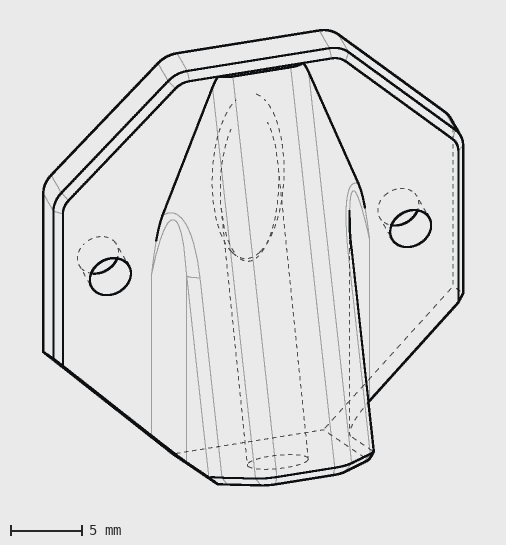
import cadquery as cq
import math

plate_width = 30.0
plate_height = 33.0
plate_thickness = 3.0
corner_cut = 8.98
corner_radius = 1.98
rim_chamfer = 0.53
foot_half_width = 5.5
foot_corner_height = 10.13
foot_angle = 20.0

part_depth = 13.93
tip_height = 5.78
boss_lean = 21.7
boss_width = 12.0
boss_chamfer = 3.07
boss_edge_radius = 1.98
root_radius = 1.98
nose_chamfer = 0.65

pin_hole_diameter = 3.0
pin_hole_offset = 11.0
pin_hole_height = 17.4
bore_diameter = 4.3
bore_exit_height = 22.28
mouth_width = 5.28
mouth_length = 13.63
mouth_center_height = 21.95
mouth_depth = 0.33

half_width = plate_width / 2
foot_rise = math.tan(math.radians(foot_angle))
lean_sin = math.sin(math.radians(boss_lean))
lean_cos = math.cos(math.radians(boss_lean))


def make_plate():
    """Plate with rounded, chamfered upper outline; its foot is trimmed later."""
    shoulder = plate_height - corner_cut
    top_half_width = half_width - corner_cut
    plate = (
        cq.Workplane("YZ")
        .moveTo(-half_width, 0)
        .lineTo(half_width, 0)
        .lineTo(half_width, shoulder)
        .lineTo(top_half_width, plate_height)
        .lineTo(-top_half_width, plate_height)
        .lineTo(-half_width, shoulder)
        .close()
        .extrude(plate_thickness)
    )
    upper_corners = cq.selectors.BoxSelector(
        (-0.33, -plate_width, shoulder - 0.33),
        (plate_thickness + 0.33, plate_width, plate_height + 0.33),
    )
    plate = plate.edges("|X").edges(upper_corners).fillet(corner_radius)
    return plate.faces(">X").edges("not <Z").chamfer(rim_chamfer)


def make_rooted_block():
    """Straight-sided block behind the boss, with concave roots where it meets the plate."""
    half_boss = boss_width / 2
    root_end = plate_thickness + root_radius
    block_end = 2 * part_depth
    return (
        cq.Workplane("XY")
        .moveTo(plate_thickness, -half_boss - root_radius)
        .radiusArc((root_end, -half_boss), root_radius)
        .lineTo(block_end, -half_boss)
        .lineTo(block_end, half_boss)
        .lineTo(root_end, half_boss)
        .radiusArc((plate_thickness, half_boss + root_radius), root_radius)
        .lineTo(0.5 * plate_thickness, half_boss + root_radius)
        .lineTo(0.5 * plate_thickness, -half_boss - root_radius)
        .close()
        .extrude(plate_height - rim_chamfer)
    )


def make_leaning_front():
    """Leaning prism with a flat front and two 45 degree bevels, rounded between them."""
    section_plane = cq.Plane(
        origin=(part_depth, 0, tip_height),
        xDir=(lean_cos, 0, lean_sin),
        normal=(-lean_sin, 0, lean_cos),
    )
    nose_half_width = boss_width / 2 - boss_chamfer
    reach = 2 * part_depth
    front = (
        cq.Workplane(section_plane)
        .workplane(offset=-plate_height / 2)
        .moveTo(-reach, -nose_half_width - reach)
        .lineTo(0, -nose_half_width)
        .lineTo(0, nose_half_width)
        .lineTo(-reach, nose_half_width + reach)
        .close()
        .extrude(2 * plate_height)
    )
    along_lean = cq.selectors.ParallelDirSelector(section_plane.zDir)
    back = cq.selectors.DirectionMinMaxSelector(section_plane.xDir, False)
    return front.edges(along_lean - back).fillet(boss_edge_radius)


def make_boss():
    """Rooted block cut to the leaning front, with its side edges rounded."""
    boss = make_rooted_block().intersect(make_leaning_front())
    half_boss = boss_width / 2
    for y in (-half_boss, half_boss):
        side_edge = cq.selectors.BoxSelector(
            (plate_thickness + root_radius, y - 0.03, 0.33),
            (part_depth, y + 0.03, plate_height),
        )
        boss = boss.edges("not |Z").edges(side_edge).fillet(boss_edge_radius)
    return boss


def make_foot_envelope():
    """Space kept above the foot: its outline is swept upward along the foot slope."""
    reach = 2 * part_depth
    rise = reach * foot_rise

    def outline(x, lift):
        corners = [
            (-foot_half_width, 0),
            (foot_half_width, 0),
            (half_width, foot_corner_height),
            (half_width, 2 * plate_height),
            (-half_width, 2 * plate_height),
            (-half_width, foot_corner_height),
        ]
        points = [cq.Vector(x, y, z + lift) for y, z in corners]
        return cq.Wire.makePolygon(points, close=True)

    envelope = cq.Solid.makeLoft([outline(0, 0), outline(reach, rise)], True)
    return cq.Workplane(envelope)


def bevel_nose(body):
    """Bevel the lower edge of the boss tip, around its flat front and side bevels."""
    slope = math.radians(foot_angle)
    foot_normal = cq.Vector(-math.sin(slope), 0, math.cos(slope))
    foot = body.faces(cq.selectors.DirectionMinMaxSelector(foot_normal, False))
    tip_edges = cq.selectors.BoxSelector(
        (part_depth - boss_chamfer, -boss_width, 0),
        (2 * part_depth, boss_width, tip_height),
    )
    return foot.edges(tip_edges).chamfer(nose_chamfer)


def make_pin_holes():
    return (
        cq.Workplane("YZ")
        .pushPoints([(-pin_hole_offset, pin_hole_height), (pin_hole_offset, pin_hole_height)])
        .circle(pin_hole_diameter / 2)
        .extrude(plate_thickness)
    )


def make_bore():
    """Bore square to the foot, breaking out of the plate's back through a flared mouth."""
    slope = math.radians(foot_angle)
    axis = cq.Plane(
        origin=(0, 0, bore_exit_height),
        xDir=(0, 1, 0),
        normal=(math.sin(slope), 0, -math.cos(slope)),
    )
    bore = (
        cq.Workplane(axis)
        .circle(bore_diameter / 2)
        .extrude(plate_height, both=True)
    )
    mouth = (
        cq.Workplane("YZ")
        .center(0, mouth_center_height)
        .ellipse(mouth_width / 2, mouth_length / 2)
        .workplane(offset=mouth_depth)
        .center(0, bore_exit_height - mouth_depth / foot_rise - mouth_center_height)
        .ellipse(bore_diameter / 2, bore_diameter / 2 / math.sin(slope))
        .loft(ruled=True)
    )
    return bore.union(mouth)


body = make_plate().union(make_boss())
body = bevel_nose(body.intersect(make_foot_envelope()))
result = body.cut(make_pin_holes()).cut(make_bore())